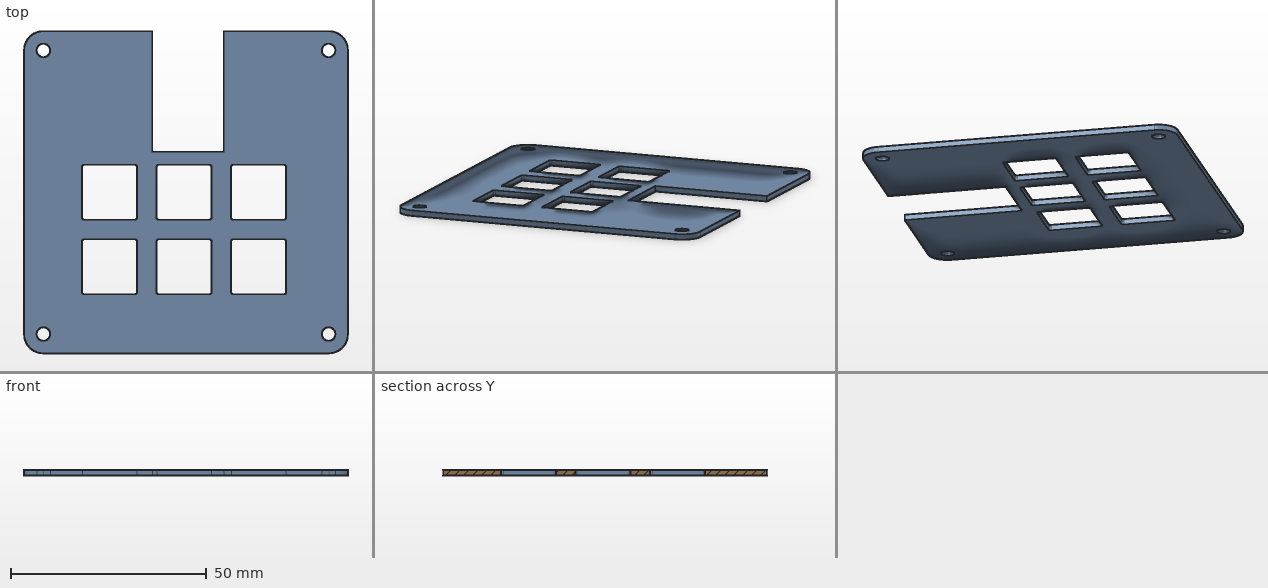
import cadquery as cq

width = 82.9
depth = 82.5
thickness = 1.5
corner_radius = 5.0

hole_diameter = 3.4

notch_width = 18.25
notch_depth = 30.85
notch_center_x = 0.5

window_size = 14.0
window_corner_radius = 0.5
window_pitch = 19.1
window_columns = 3
window_rows = 2
grid_center_x = -0.5
grid_center_y = -9.5


def make_plate():
    plate = cq.Workplane("XY").box(width, depth, thickness, centered=(True, True, False))
    return plate.edges("|Z").fillet(corner_radius)


def make_mounting_holes():
    return (
        cq.Workplane("XY")
        .rect(width - 2 * corner_radius, depth - 2 * corner_radius, forConstruction=True)
        .vertices()
        .circle(hole_diameter / 2)
        .extrude(thickness)
    )


def make_notch():
    return (
        cq.Workplane("XY")
        .center(notch_center_x, depth / 2 - notch_depth / 2)
        .rect(notch_width, notch_depth)
        .extrude(thickness)
    )


def make_windows():
    return (
        cq.Workplane("XY")
        .center(grid_center_x, grid_center_y)
        .rarray(window_pitch, window_pitch, window_columns, window_rows)
        .rect(window_size, window_size)
        .extrude(thickness)
        .edges("|Z")
        .fillet(window_corner_radius)
    )


result = make_plate().cut(make_mounting_holes()).cut(make_notch()).cut(make_windows())